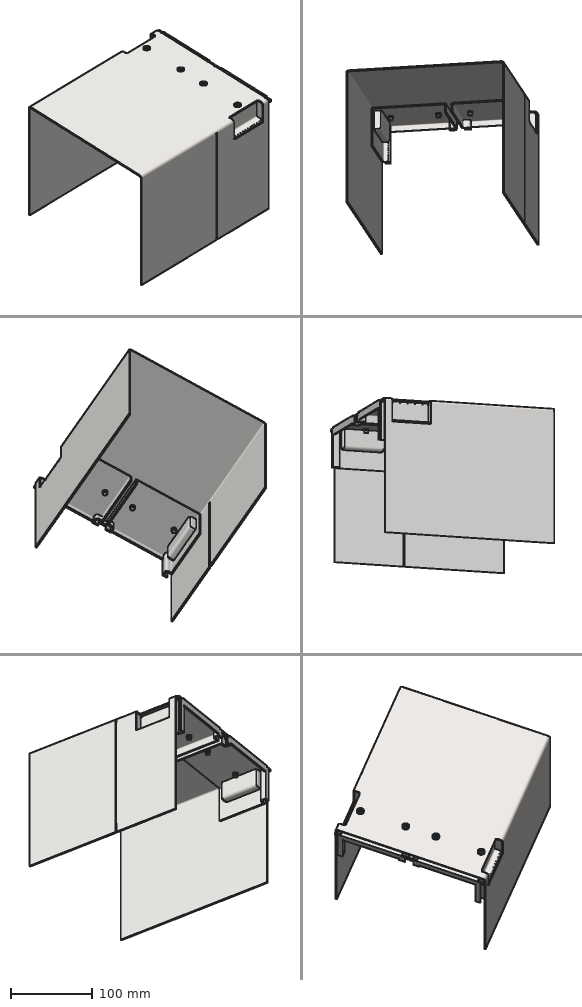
import cadquery as cq

half_width = 199.0 / 2
cover_length = 220.0
cover_height = 170.0
sheet = 2.0
cover_bend = 4.0

slit_front = 129.0
slit_width = 2.0

window_y = (160.0, 210.5)
window_inner_x = 90.0
window_bottom = -30.0
window_corner = 2.0

bracket_front = window_y[0] - 10.0
bracket_top = -sheet
roof_underside = bracket_top - sheet
bracket_outer_x = half_width - sheet
bracket_inner_x = 3.0
bracket_bend = 3.0
inside_bend = bracket_bend - sheet
outer_leg_bottom = -52.0
inner_leg_bottom = -14.2

pocket_face_x = 88.0
pocket_floor = -27.0
pocket_lip_bend = pocket_floor - window_bottom
pocket_inner_bend = 2.0
pocket_outer_bend = pocket_inner_bend + sheet

rear_overhang = 5.06
bracket_rear = cover_length + rear_overhang
flange_y = (bracket_rear - sheet, bracket_rear)
web_front = 216.0
web_rear = web_front + sheet
step_outer_x = 88.0
step_inner_x = 13.5
step_bend = 3.0
step_width = step_bend + sheet
flange_outer_x = 94.5
flange_inner_x = 5.5

tongue_x = (10.0, 91.0)
apron_bottom = -11.6
tab_x = (1.0, 98.5)
tab_z = (-5.8, -3.3)

screw_xs = (20.0, 80.0)
screw_y = cover_length - 35.0
head_radius = 4.5
head_height = 1.39
head_rim = 0.5
slot_width = 0.4
slot_depth = 0.8
slot_angle = 30.0
shank_radius = 2.6
collar_radius = 3.25
collar_bottom = -5.8
screw_bottom = -8.5


def block(x_range, y_range, z_range):
    """Box spanning the given (low, high) ranges."""
    spans = [high - low for low, high in (x_range, y_range, z_range)]
    corner = (x_range[0], y_range[0], z_range[0])
    return cq.Workplane("XY").box(*spans, centered=False).translate(corner)


def mirrored(body):
    return body.mirror("YZ")


def drill_screw_holes(body):
    for x in screw_xs:
        hole = cq.Workplane("XY").circle(shank_radius).extrude(roof_underside)
        body = body.cut(hole.translate((x, screw_y, 0)))
    return body


def make_half_cover():
    """The +X half of the cover: half the roof, one wall and its window."""
    y_range = (0, cover_length)
    outer = block((0, half_width), y_range, (-cover_height, 0))
    outer = outer.edges("|Y and >X and >Z").fillet(cover_bend)
    inner = block((0, half_width - sheet), y_range, (-cover_height, -sheet))
    inner = inner.edges("|Y and >X and >Z").fillet(cover_bend - sheet)
    window = block((window_inner_x, half_width), window_y, (window_bottom, 0))
    window = window.edges("(|Z and <X) or (|X and <Z)").fillet(window_corner)
    return drill_screw_holes(outer.cut(inner).cut(window))


def make_cover():
    """Both halves as one sheet, keeping the seam line along the middle; slit on +X only."""
    half = make_half_cover()
    slit = block(
        (half_width - sheet, half_width),
        (slit_front, slit_front + slit_width),
        (-cover_height, -cover_bend),
    )
    return half.cut(slit).union(mirrored(half), clean=False)


def make_saddle():
    """Folded roof with a long outer and a short inner leg, each stepping inward at the rear."""
    outer = block(
        (bracket_inner_x, bracket_outer_x),
        (bracket_front, web_rear),
        (outer_leg_bottom, bracket_top),
    )
    outer = outer.edges("|Y and >Z").fillet(bracket_bend)
    inside = block(
        (bracket_inner_x + sheet, bracket_outer_x - sheet),
        (bracket_front, web_front),
        (outer_leg_bottom, roof_underside),
    )
    inside = inside.edges("(|Y and >Z) or (|Z and >Y)").fillet(inside_bend)
    return outer.cut(inside)


def make_step(inside_x, outward, flange_x):
    """Rear run of one leg: rounded turn out of the web, floor along y, flange out to flange_x."""
    z_range = (outer_leg_bottom, roof_underside)
    step = block(sorted((inside_x, inside_x + outward * step_width)), (web_front, web_rear), z_range)
    floor_x = sorted((inside_x, inside_x + outward * sheet))
    step = step.union(block(floor_x, (web_front, bracket_rear), z_range))
    step = step.union(block(sorted((inside_x, flange_x)), flange_y, z_range))
    turn = cq.selectors.NearestToPointSelector((inside_x, web_front, outer_leg_bottom / 2))
    return step.edges("|Z").edges(turn).fillet(step_bend)


def make_tongue():
    """Roof tongue folded down into the apron, with the tabbed bar along it."""
    y_range = (web_front, bracket_rear)
    tongue = block(tongue_x, y_range, (apron_bottom, bracket_top))
    under = block(tongue_x, (web_front, flange_y[0]), (apron_bottom, roof_underside))
    under = under.edges("|X and >Y and >Z").fillet(inside_bend)
    return tongue.cut(under).union(block(tab_x, flange_y, tab_z))


def add_pocket(body):
    """Press the hand pocket, open to the side and top, into the outer corner."""
    front, rear = window_y
    shell = block(
        (pocket_face_x - sheet, bracket_outer_x - sheet),
        (front - sheet, rear + sheet),
        (pocket_floor - sheet, roof_underside),
    )
    shell = shell.faces("<X or <Z").edges("not (>X or >Z)").fillet(pocket_outer_bend)
    hollow = block((pocket_face_x, bracket_outer_x), window_y, (pocket_floor, bracket_top))
    hollow = hollow.edges("|Y and <X and <Z").fillet(pocket_inner_bend)
    body = body.union(shell).cut(hollow)
    for x, z in ((bracket_outer_x, pocket_floor), (pocket_face_x, bracket_top)):
        lip = cq.selectors.BoxSelector((x - 1, front, z - 1), (x + 1, rear, z + 1))
        body = body.edges("|Y").edges(lip).fillet(pocket_lip_bend)
    return body


def make_bracket():
    """The +X bracket."""
    bracket = make_saddle()
    opening_x = (step_inner_x - step_width, step_outer_x + step_width)
    opening = block(opening_x, (web_front, web_rear), (outer_leg_bottom, roof_underside))
    bracket = bracket.cut(opening)
    bracket = bracket.union(make_step(step_outer_x, 1, flange_outer_x))
    bracket = bracket.union(make_step(step_inner_x, -1, flange_inner_x))
    bracket = bracket.cut(
        block((0, step_inner_x), (bracket_front, bracket_rear), (outer_leg_bottom, inner_leg_bottom))
    )
    bracket = bracket.union(make_tongue())
    return drill_screw_holes(add_pocket(bracket))


def make_screw(x):
    """Slotted domed head on the roof, shank through both sheets, collar under the bracket."""
    dome_height = head_height - head_rim
    dome_radius = (head_radius**2 + dome_height**2) / (2 * dome_height)
    mid_x = head_radius / 2
    mid_z = head_height - dome_radius + (dome_radius**2 - mid_x**2) ** 0.5
    profile = (
        cq.Workplane("XZ")
        .moveTo(0, head_height)
        .threePointArc((mid_x, mid_z), (head_radius, head_rim))
        .lineTo(head_radius, 0)
        .lineTo(shank_radius, 0)
        .lineTo(shank_radius, roof_underside)
        .lineTo(collar_radius, roof_underside)
        .lineTo(collar_radius, collar_bottom)
        .lineTo(shank_radius, collar_bottom)
        .lineTo(shank_radius, screw_bottom)
        .lineTo(0, screw_bottom)
        .close()
    )
    screw = profile.revolve(360, (0, 0, 0), (0, 1, 0))
    slot = block(
        (-head_radius, head_radius),
        (-slot_width / 2, slot_width / 2),
        (head_height - slot_depth, head_height),
    )
    slot = slot.rotate((0, 0, 0), (0, 0, 1), slot_angle)
    return screw.cut(slot).translate((x, screw_y, 0))


cover = make_cover()
bracket = make_bracket()
brackets = [bracket, mirrored(bracket)]
screws = [make_screw(side * x) for side in (-1, 1) for x in screw_xs]
result = cq.Compound.makeCompound([body.val() for body in [cover, *brackets, *screws]])